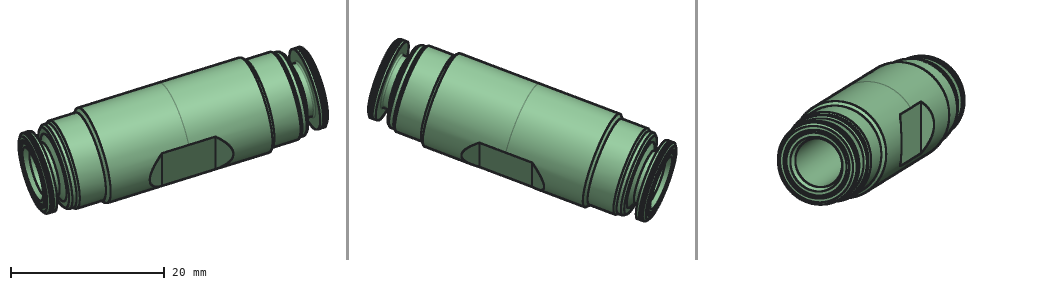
import cadquery as cq

length = 39.3
half_length = length / 2
body_radius = 6.505

barrel_radius = 6.0
collar_radius = 5.78
collar_face_radius = 5.45
cone_radius = 4.6
neck_radius = 3.65
neck_fillet = 0.25
flange_radius = 5.5
flange_face_radius = 5.1
flange_notch_radius = 5.25

flange_chamfer_depth = 0.28
notch_start = 0.55
notch_end = 0.8
flange_depth = 1.25
neck_end = 2.3
collar_face_depth = 2.9
collar_start = 3.25
collar_end = 3.85
barrel_start = 4.2
barrel_end = 7.85
body_start = 8.35

groove_inner_radius = 4.2
groove_bottom_radius = 4.45
groove_outer_radius = 4.6
groove_depth = 0.25

entry_radius = 3.65
entry_depth = 0.8
socket_radius = 3.25
socket_depth = 15.72
bore_radius = 2.5
stop_slope = 0.6
bore_start = socket_depth + stop_slope * (socket_radius - bore_radius)

recess_flat_x = 5.5
recess_flat_length = 7.45
recess_mouth_length = 11.7


def make_fitting():
    """Revolve the profile of the whole fitting about the Y axis."""

    def at(radius, depth):
        return (radius, half_length - depth)

    profile = (
        cq.Workplane("XY")
        .moveTo(body_radius, 0)
        .lineTo(*at(body_radius, body_start))
        .lineTo(*at(barrel_radius, barrel_end))
        .lineTo(*at(barrel_radius, barrel_start))
        .lineTo(*at(collar_radius, collar_end))
        .lineTo(*at(collar_radius, collar_start))
        .lineTo(*at(collar_face_radius, collar_face_depth))
        .lineTo(*at(cone_radius, collar_face_depth))
        .lineTo(*at(neck_radius, neck_end))
        .lineTo(*at(neck_radius, flange_depth + neck_fillet))
        .radiusArc(at(neck_radius + neck_fillet, flange_depth), neck_fillet)
        .lineTo(*at(flange_radius, flange_depth))
        .lineTo(*at(flange_radius, notch_end))
        .lineTo(*at(flange_notch_radius, notch_end))
        .lineTo(*at(flange_radius, notch_start))
        .lineTo(*at(flange_radius, flange_chamfer_depth))
        .lineTo(*at(flange_face_radius, 0))
        .lineTo(*at(groove_outer_radius, 0))
        .lineTo(*at(groove_bottom_radius, groove_depth))
        .lineTo(*at(groove_inner_radius, 0))
        .lineTo(*at(entry_radius, 0))
        .lineTo(*at(socket_radius, entry_depth))
        .lineTo(*at(socket_radius, socket_depth))
        .lineTo(*at(bore_radius, bore_start))
        .lineTo(bore_radius, 0)
        .mirrorX()
    )
    return profile.revolve(360, (0, 0, 0), (0, 1, 0)).clean()


def make_recess_cutter():
    """Trapezoidal prism along Z, widening outward to the body surface."""
    return (
        cq.Workplane("XY")
        .moveTo(recess_flat_x, -recess_flat_length / 2)
        .lineTo(body_radius, -recess_mouth_length / 2)
        .lineTo(body_radius, recess_mouth_length / 2)
        .lineTo(recess_flat_x, recess_flat_length / 2)
        .close()
        .extrude(body_radius, both=True)
    )


result = make_fitting().cut(make_recess_cutter())